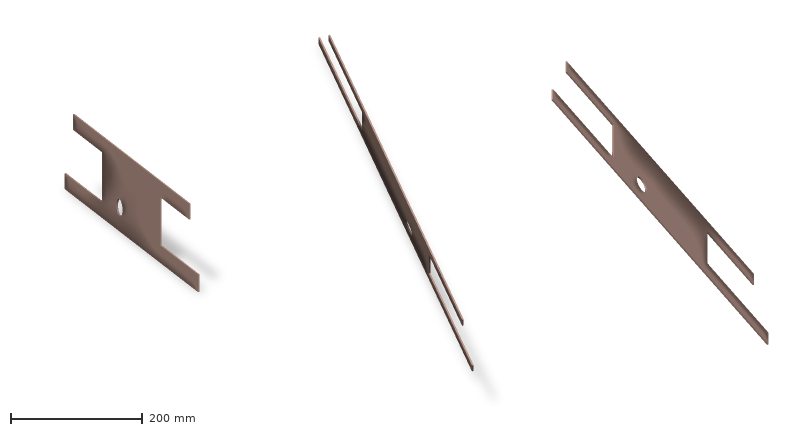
import cadquery as cq

length = 584.0
height = 129.5
thickness = 2.5

upper_left = 37.5
upper_right = 545.5
upper_arm_height = 25.0

lower_left_arm_height = 25.0
lower_right_arm_height = 28.0

web_left = 164.0
web_right = 419.0

hole_diameter = 26.0
hole_x = 240.5
hole_z = 38.0

upper_arm_bottom = height - upper_arm_height

outline = [
    (0, 0),
    (length, 0),
    (length, lower_right_arm_height),
    (web_right, lower_right_arm_height),
    (web_right, upper_arm_bottom),
    (upper_right, upper_arm_bottom),
    (upper_right, height),
    (upper_left, height),
    (upper_left, upper_arm_bottom),
    (web_left, upper_arm_bottom),
    (web_left, lower_left_arm_height),
    (0, lower_left_arm_height),
]

plate = cq.Workplane("XZ").polyline(outline).close().extrude(-thickness)
hole = cq.Workplane("XZ").center(hole_x, hole_z).circle(hole_diameter / 2).extrude(-thickness)

result = plate.cut(hole)